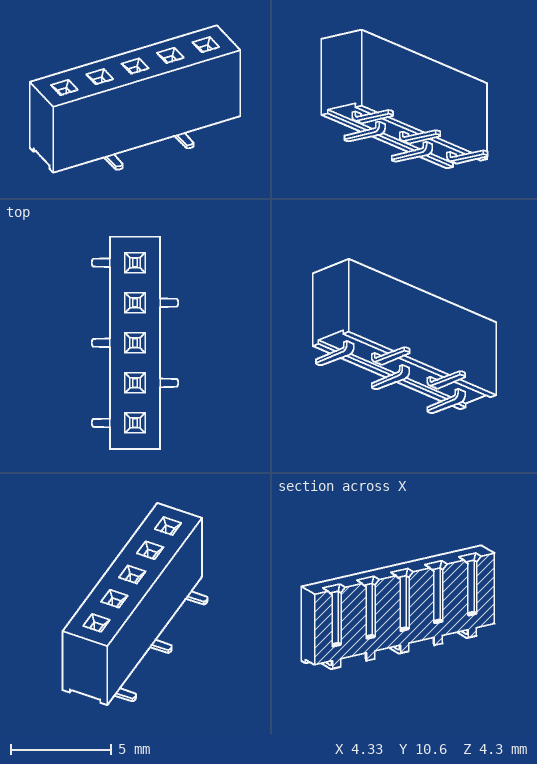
import cadquery as cq

CONTACT_COUNT = 5
PITCH = 2.0

BODY_WIDTH = 2.5
BODY_HEIGHT = 4.0
END_MARGIN = 1.3
BODY_LENGTH = (CONTACT_COUNT - 1) * PITCH + 2 * END_MARGIN
CHANNEL_WIDTH = 1.7
CHANNEL_HEIGHT = 0.2

FUNNEL_SIZE = 1.0
SHAFT_SIZE = 0.5
FUNNEL_DEPTH = (FUNNEL_SIZE - SHAFT_SIZE) / 2
SHAFT_FLOOR_Z = 1.0
SLOT_BEVEL = 0.04

STRIP_THICKNESS = 0.2
STEM_WIDTH = 0.5
TIP_WIDTH = 0.4
TIP_BULGE = 0.07
BEND_INNER_RADIUS = 0.1
BEND_OUTER_RADIUS = BEND_INNER_RADIUS + STRIP_THICKNESS
TAIL_SPAN = 4.33
TAIL_REACH = TAIL_SPAN / 2
TAIL_BOTTOM_Z = -0.3
STEM_TOP_Z = 0.5

CONTACT_YS = [(i - (CONTACT_COUNT - 1) / 2) * PITCH for i in range(CONTACT_COUNT)]


def make_housing():
    """Block with a channel running along Y through its underside."""
    block = cq.Workplane("XY").box(
        BODY_WIDTH, BODY_LENGTH, BODY_HEIGHT, centered=(True, True, False)
    )
    channel = cq.Workplane("XY").box(
        CHANNEL_WIDTH, BODY_LENGTH, CHANNEL_HEIGHT, centered=(True, True, False)
    )
    return block.cut(channel)


def make_opening():
    """Cutter for one contact opening, centred on the Z axis."""
    shaft = (
        cq.Workplane("XY")
        .workplane(offset=SHAFT_FLOOR_Z)
        .rect(SHAFT_SIZE, SHAFT_SIZE)
        .extrude(BODY_HEIGHT - SHAFT_FLOOR_Z)
    )
    funnel = (
        cq.Workplane("XY")
        .workplane(offset=BODY_HEIGHT - FUNNEL_DEPTH)
        .rect(SHAFT_SIZE, SHAFT_SIZE)
        .workplane(offset=FUNNEL_DEPTH)
        .rect(FUNNEL_SIZE, FUNNEL_SIZE)
        .loft(combine=True)
    )
    half_length = SHAFT_SIZE / 2
    slot = (
        cq.Workplane("YZ")
        .moveTo(-half_length, SHAFT_FLOOR_Z)
        .lineTo(-half_length + SLOT_BEVEL, SHAFT_FLOOR_Z - SLOT_BEVEL)
        .lineTo(half_length - SLOT_BEVEL, SHAFT_FLOOR_Z - SLOT_BEVEL)
        .lineTo(half_length, SHAFT_FLOOR_Z)
        .close()
        .extrude(STRIP_THICKNESS / 2, both=True)
    )
    return shaft.union(funnel).union(slot)


def make_tail():
    """One L-bent tail, its stem on the Z axis and its foot pointing to -X."""
    half_thickness = STRIP_THICKNESS / 2
    bend_x = -half_thickness - BEND_INNER_RADIUS
    bend_z = TAIL_BOTTOM_Z + BEND_OUTER_RADIUS
    foot_top_z = TAIL_BOTTOM_Z + STRIP_THICKNESS
    side_profile = (
        cq.Workplane("XZ")
        .moveTo(-half_thickness, STEM_TOP_Z)
        .lineTo(half_thickness, STEM_TOP_Z)
        .lineTo(half_thickness, bend_z)
        .radiusArc((bend_x, TAIL_BOTTOM_Z), BEND_OUTER_RADIUS)
        .lineTo(-TAIL_REACH, TAIL_BOTTOM_Z)
        .lineTo(-TAIL_REACH, foot_top_z)
        .lineTo(bend_x, foot_top_z)
        .radiusArc((-half_thickness, bend_z), -BEND_INNER_RADIUS)
        .close()
        .extrude(STEM_WIDTH / 2, both=True)
    )
    tip_corner_x = -TAIL_REACH + TIP_BULGE
    plan_envelope = (
        cq.Workplane("XY")
        .workplane(offset=TAIL_BOTTOM_Z)
        .moveTo(half_thickness, STEM_WIDTH / 2)
        .lineTo(bend_x, STEM_WIDTH / 2)
        .lineTo(tip_corner_x, TIP_WIDTH / 2)
        .threePointArc((-TAIL_REACH, 0), (tip_corner_x, -TIP_WIDTH / 2))
        .lineTo(bend_x, -STEM_WIDTH / 2)
        .lineTo(half_thickness, -STEM_WIDTH / 2)
        .close()
        .extrude(STEM_TOP_Z - TAIL_BOTTOM_Z)
    )
    return side_profile.intersect(plan_envelope)


left_tail = make_tail()
right_tail = left_tail.mirror("YZ")
opening = make_opening()

result = make_housing()
for index, contact_y in enumerate(CONTACT_YS):
    tail = left_tail if index % 2 == 0 else right_tail
    result = result.union(tail.translate((0, contact_y, 0)))
    result = result.cut(opening.translate((0, contact_y, 0)))